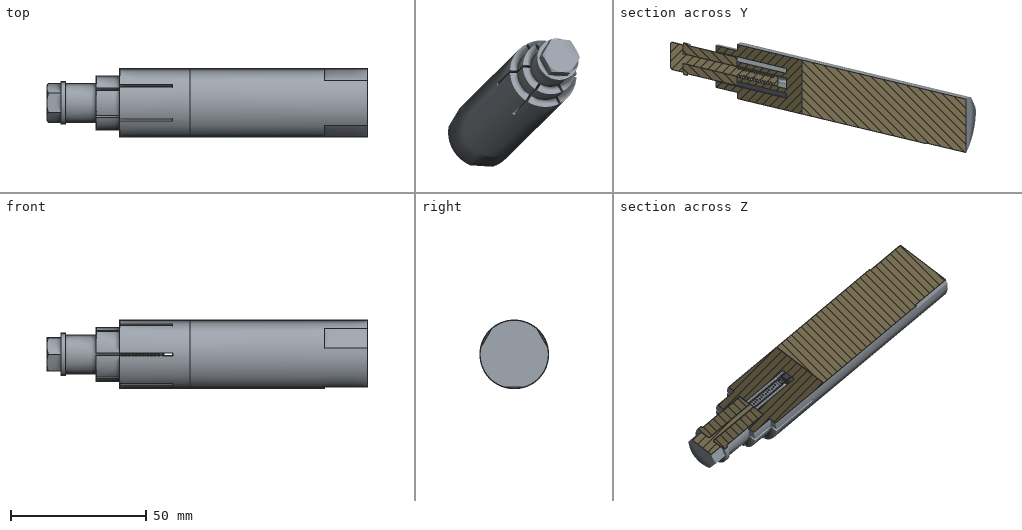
import cadquery as cq
import math


overall_length = 118.5
flange_start = 5.2
flange_end = 7.0
collet_start = 18.3
collet_step = 26.9
bolt_tip = 43.3
slot_end = 46.5
shank_start = 52.9

bolt_diameter = 8.0
sleeve_diameter = 14.5
flange_diameter = 15.8
nose_diameter = 20.0
body_diameter = 25.4

head_across_flats = 12.5
head_across_corners = head_across_flats / math.cos(math.radians(30))
head_chamfer_angle = 30.0
thread_pitch = 1.1
thread_depth = 0.6
crest_width = thread_pitch / 8
tip_chamfer = 0.6

slot_width = 1.0
slot_cut_count = 3

flat_count = 3
flat_length = 16.0
flat_distance = 12.0


def cylinder(diameter, start, end):
    """Round bar on the X axis between two X positions."""
    return cq.Workplane("YZ", origin=(start, 0, 0)).circle(diameter / 2).extrude(end - start)


def revolved(points):
    """Solid of revolution about X from (x, radius) points."""
    return cq.Workplane("XY").polyline(points).close().revolve(360, (0, 0, 0), (1, 0, 0))


def make_bolt_head():
    head = (
        cq.Workplane("YZ")
        .polygon(6, head_across_corners)
        .extrude(flange_start)
    )
    face_radius = head_across_flats / 2
    corner_radius = head_across_corners / 2
    chamfer_length = (corner_radius - face_radius) * math.tan(math.radians(head_chamfer_angle))
    chamfer_envelope = revolved([
        (0, 0),
        (0, face_radius),
        (chamfer_length, corner_radius),
        (flange_start, corner_radius),
        (flange_start, 0),
    ])
    return head.intersect(chamfer_envelope)


def make_bolt_stem():
    """Plain stem with the thread formed as a row of V-shaped ring grooves."""
    crest_radius = bolt_diameter / 2
    root_radius = crest_radius - thread_depth
    thread_start = collet_step
    thread_end = bolt_tip - tip_chamfer
    groove_count = math.floor((thread_end - thread_start) / thread_pitch)
    outline = [(flange_start, 0), (flange_start, crest_radius)]
    for index in range(groove_count):
        groove_start = thread_start + index * thread_pitch
        groove_end = groove_start + thread_pitch - crest_width
        outline.append((groove_start, crest_radius))
        outline.append(((groove_start + groove_end) / 2, root_radius))
        outline.append((groove_end, crest_radius))
    outline += [
        (thread_end, crest_radius),
        (bolt_tip, crest_radius - tip_chamfer),
        (bolt_tip, 0),
    ]
    return revolved(outline)


def make_bolt():
    return make_bolt_head().union(make_bolt_stem())


def make_sleeve():
    flange = cylinder(flange_diameter, flange_start, flange_end)
    tube = cylinder(sleeve_diameter, flange_start, collet_step)
    bore = cylinder(bolt_diameter, flange_start, collet_step)
    return flange.union(tube).cut(bore)


def make_collet():
    nose = cylinder(nose_diameter, collet_start, collet_step)
    barrel = cylinder(body_diameter, collet_step, shank_start)
    sleeve_bore = cylinder(sleeve_diameter, collet_start, collet_step)
    bolt_bore = cylinder(bolt_diameter, collet_step, slot_end)
    collet = nose.union(barrel).cut(sleeve_bore).cut(bolt_bore)

    slot_length = slot_end - collet_start
    slot_cut = cq.Workplane("XY").box(slot_length, body_diameter, slot_width)
    slot_cut = slot_cut.translate((collet_start + slot_length / 2, 0, 0))
    for index in range(slot_cut_count):
        angle = index * 180 / slot_cut_count
        collet = collet.cut(slot_cut.rotate((0, 0, 0), (1, 0, 0), angle))
    return collet


def make_shank():
    shank = cylinder(body_diameter, shank_start, overall_length)
    block_height = body_diameter / 2 - flat_distance
    flat_cut = cq.Workplane("XY").box(flat_length, body_diameter, block_height)
    flat_cut = flat_cut.translate((
        overall_length - flat_length / 2,
        0,
        -flat_distance - block_height / 2,
    ))
    for index in range(flat_count):
        angle = index * 360 / flat_count
        shank = shank.cut(flat_cut.rotate((0, 0, 0), (1, 0, 0), angle))
    return shank


bolt = make_bolt()
sleeve = make_sleeve()
collet = make_collet()
shank = make_shank()

bodies = [bolt, sleeve, collet, shank]
result = cq.Compound.makeCompound([body.solids().val() for body in bodies])